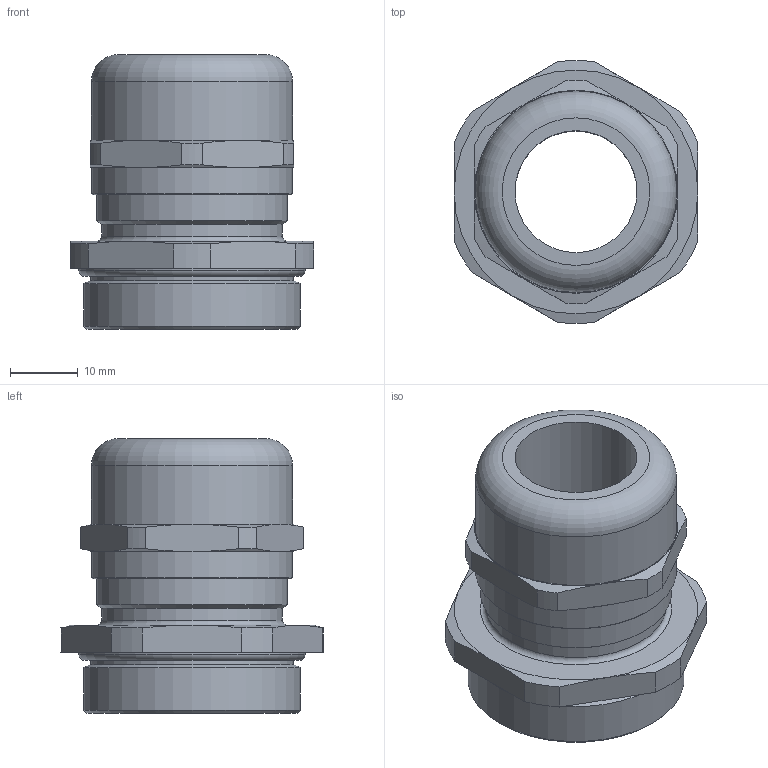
import cadquery as cq
import math

total_height = 40.56
bore_radius = 9.0

thread_radius = 16.0
thread_chamfer = 0.45
thread_top = 7.2
undercut_radius = 15.0
undercut_chamfer_height = 0.45

ring_radius = 16.7
ring_bottom = 7.8
ring_rounding = 0.9

body_hex_bottom = 9.0
body_hex_height = 4.0
body_hex_flats = 36.0
body_hex_corners = 38.86

neck_radius = 13.35
neck_fillet = 0.75
neck_top = 15.5
collar_radius = 14.1
collar_chamfer_height = 0.55

cap_radius = 14.85
cap_bottom = 19.9
cap_edge_chamfer = 0.15
cap_hex_bottom = 23.9
cap_hex_height = 4.0
cap_hex_flats = 30.0
cap_hex_corners = 33.0
cap_top_radius = 10.9

hex_chamfer_angle = 15.0
hex_sides = 6


def revolve_profile(profile):
    """Turn a closed profile of (radius, height) around the Z axis."""
    return profile.close().revolve(360, (0, 0, 0), (0, 1, 0))


def turned_hexagon(bottom, height, flats, corners, chamfer_bottom):
    """Hexagon with flats facing +X and -X, its corners turned and chamfered."""
    flat_radius = flats / 2
    corner_radius = corners / 2
    slope = math.tan(math.radians(hex_chamfer_angle))
    chamfer_height = (corner_radius - flat_radius) * slope
    top = bottom + height

    sharp_radius = flat_radius / math.cos(math.pi / hex_sides)
    corner_angles = [(2 * i + 1) * math.pi / hex_sides for i in range(hex_sides)]
    corners_xy = [(sharp_radius * math.cos(a), sharp_radius * math.sin(a)) for a in corner_angles]

    prism = (
        cq.Workplane("XY")
        .workplane(offset=bottom)
        .polyline(corners_xy)
        .close()
        .extrude(height)
    )
    envelope = cq.Workplane("XZ").moveTo(0, bottom)
    if chamfer_bottom:
        envelope = envelope.lineTo(flat_radius, bottom)
        envelope = envelope.lineTo(corner_radius, bottom + chamfer_height)
    else:
        envelope = envelope.lineTo(corner_radius, bottom)
    envelope = (
        envelope.lineTo(corner_radius, top - chamfer_height)
        .lineTo(flat_radius, top)
        .lineTo(0, top)
    )
    return prism.intersect(revolve_profile(envelope))


def threaded_end():
    """Plain threaded end, undercut and sealing ring, up to the large hexagon."""
    shoulder = thread_top - undercut_chamfer_height
    profile = (
        cq.Workplane("XZ")
        .lineTo(thread_radius - thread_chamfer, 0)
        .lineTo(thread_radius, thread_chamfer)
        .lineTo(thread_radius, shoulder)
        .lineTo(undercut_radius, thread_top)
        .lineTo(undercut_radius, ring_bottom)
        .lineTo(ring_radius - ring_rounding, ring_bottom)
        .radiusArc((ring_radius, ring_bottom + ring_rounding), -ring_rounding)
        .lineTo(ring_radius, body_hex_bottom)
        .lineTo(0, body_hex_bottom)
    )
    return revolve_profile(profile)


def neck_and_cap():
    """Neck above the large hexagon, collar and domed cap nut."""
    neck_bottom = body_hex_bottom + body_hex_height
    dome_radius = cap_radius - cap_top_radius
    profile = (
        cq.Workplane("XZ")
        .moveTo(0, neck_bottom)
        .lineTo(neck_radius + neck_fillet, neck_bottom)
        .radiusArc((neck_radius, neck_bottom + neck_fillet), neck_fillet)
        .lineTo(neck_radius, neck_top)
        .lineTo(collar_radius, neck_top + collar_chamfer_height)
        .lineTo(collar_radius, cap_bottom)
        .lineTo(cap_radius - cap_edge_chamfer, cap_bottom)
        .lineTo(cap_radius, cap_bottom + cap_edge_chamfer)
        .lineTo(cap_radius, total_height - dome_radius)
        .radiusArc((cap_top_radius, total_height), -dome_radius)
        .lineTo(0, total_height)
    )
    return revolve_profile(profile)


body_hexagon = turned_hexagon(
    body_hex_bottom, body_hex_height, body_hex_flats, body_hex_corners, chamfer_bottom=False
)
cap_hexagon = turned_hexagon(
    cap_hex_bottom, cap_hex_height, cap_hex_flats, cap_hex_corners, chamfer_bottom=True
)
bore = cq.Workplane("XY").circle(bore_radius).extrude(total_height)

result = threaded_end().union(body_hexagon).union(neck_and_cap()).union(cap_hexagon).cut(bore)